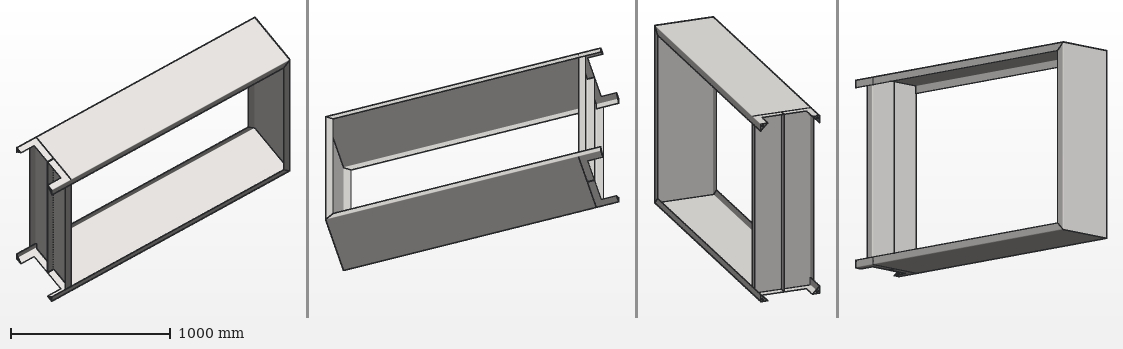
import cadquery as cq

WIDTH = 400.0
LENGTH = 1800.0
HEIGHT = 1200.0

SHEET = 3.0
TRAY_FLANGE = 50.0
DOOR_FLANGE = 49.0
BEND_RADIUS = 4.5
DOOR_EDGE_RADIUS = 7.5

LEG_REACH = 100.0
HOLE_OFFSET = 18.0
HOLE_RADIUS = 6.3

FRONT = -LENGTH / 2
BACK = LENGTH / 2
TOP = HEIGHT / 2
DOOR_BACK = FRONT + LEG_REACH + DOOR_FLANGE
DOOR_WIDTH = WIDTH / 2
DOOR_HEIGHT = HEIGHT - 2 * SHEET


def rounded_bar(width, height, length, left_radius, right_radius):
    """Bar along +Y, centred on X with its top at Z = 0, rounded along its two top edges."""
    bar = cq.Workplane("XY").box(width, length, height, centered=(True, False, False))
    bar = bar.translate((0, 0, -height))
    bar = bar.edges("|Y and >Z and <X").fillet(left_radius)
    return bar.edges("|Y and >Z and >X").fillet(right_radius)


def channel(width, flange, length, left_radius=BEND_RADIUS, right_radius=BEND_RADIUS):
    """Bent U channel along +Y: web on top at Z = 0, a flange hanging down along each side."""
    outside = rounded_bar(width, flange, length, left_radius, right_radius)
    inside = rounded_bar(width - 2 * SHEET, flange, length, left_radius - SHEET, right_radius - SHEET)
    return outside.cut(inside.translate((0, 0, -SHEET)))


def stand_up(flat_channel):
    """Turn a channel along +Y so that it runs down along -Z with its web facing +Y."""
    return flat_channel.rotate((0, 0, 0), (1, 0, 0), -90)


def mitre_cutter(spare_corner):
    """Wedge that trims the top back corner to 45 degrees on the side of the given (Y, Z) point."""
    outer_corner = (BACK, TOP)
    inner_corner = (BACK - TRAY_FLANGE, TOP - TRAY_FLANGE)
    outline = cq.Workplane("YZ").polyline([outer_corner, inner_corner, spare_corner]).close()
    return outline.extrude(WIDTH, both=True)


def make_top_tray():
    """Level tray, mitred at the back, its web notched at the front to leave two feet."""
    tray = channel(WIDTH, TRAY_FLANGE, LENGTH).translate((0, FRONT, TOP))
    notch_width = WIDTH - 2 * TRAY_FLANGE
    notch = cq.Workplane("XY").box(notch_width, LEG_REACH, TRAY_FLANGE, centered=(True, False, True))
    tray = tray.cut(notch.translate((0, FRONT, TOP)))
    return tray.cut(mitre_cutter((BACK, TOP - TRAY_FLANGE)))


def make_back_tray():
    """Upright tray, mitred at both ends to meet the level trays."""
    tray = stand_up(channel(WIDTH, TRAY_FLANGE, HEIGHT)).translate((0, BACK, TOP))
    cutter = mitre_cutter((BACK - TRAY_FLANGE, TOP))
    return tray.cut(cutter).cut(cutter.mirror("XY"))


def make_right_door():
    """Door on the +X side: its outer flange stops short at both ends to clear the tray flanges."""
    leaf = stand_up(channel(DOOR_WIDTH, DOOR_FLANGE, DOOR_HEIGHT, right_radius=DOOR_EDGE_RADIUS))
    leaf = leaf.translate((DOOR_WIDTH / 2, DOOR_BACK, DOOR_HEIGHT / 2))
    relief = cq.Workplane("XY").box(DOOR_EDGE_RADIUS, DOOR_FLANGE, TRAY_FLANGE, centered=False)
    relief = relief.translate((WIDTH / 2 - DOOR_EDGE_RADIUS, DOOR_BACK - DOOR_FLANGE, TOP - TRAY_FLANGE))
    return leaf.cut(relief).cut(relief.mirror("XY"))


def make_corner_plate():
    """Triangular plate with one hole, set into the end of the foot at -X, -Z."""
    plate = (
        cq.Workplane("XZ")
        .polyline([(SHEET, SHEET), (TRAY_FLANGE - SHEET, SHEET), (SHEET, TRAY_FLANGE - SHEET)])
        .close()
        .extrude(-SHEET)
        .edges("|Y and <X and <Z")
        .fillet(BEND_RADIUS - SHEET)
    )
    hole = cq.Workplane("XZ").center(HOLE_OFFSET, HOLE_OFFSET).circle(HOLE_RADIUS).extrude(-SHEET)
    return plate.cut(hole).translate((-WIDTH / 2, FRONT, -TOP))


top_tray = make_top_tray()
bottom_tray = top_tray.mirror("XY")
back_tray = make_back_tray()

right_door = make_right_door()
left_door = right_door.mirror("YZ")

lower_left_plate = make_corner_plate()
corner_plates = []
for lower_plate in (lower_left_plate, lower_left_plate.mirror("YZ")):
    corner_plates.append(lower_plate.val())
    corner_plates.append(lower_plate.mirror("XY").val())

result = cq.Compound.makeCompound(
    [
        top_tray.val(),
        bottom_tray.val(),
        back_tray.val(),
        right_door.val(),
        left_door.val(),
        *corner_plates,
    ]
)